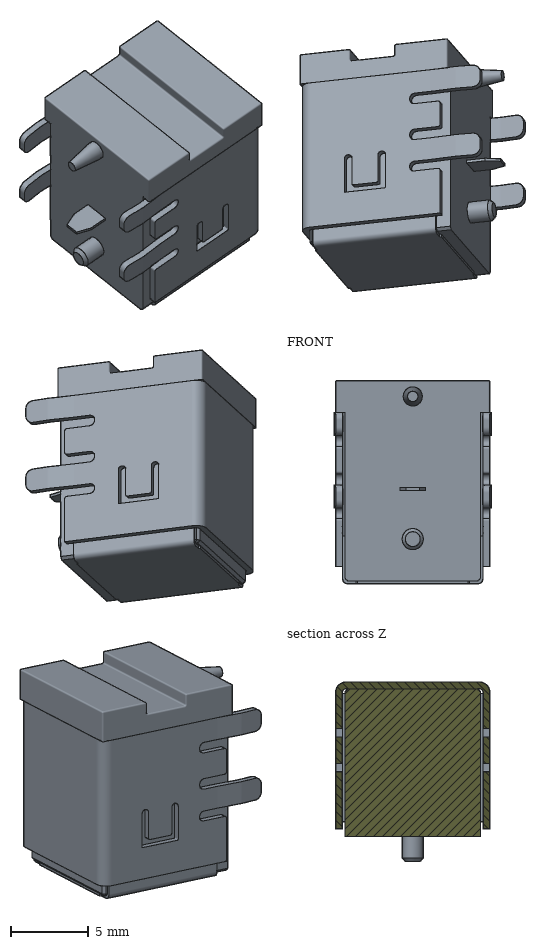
import cadquery as cq

total_height = 13.15
body_width = 10.0
body_depth = 10.01
cap_height = 2.05
cap_bottom = total_height - cap_height

edge_fillet = 0.1
notch_front = 3.6
notch_width = 3.0
notch_depth = 0.8

shell_bottom = 1.12
shell_thickness = 0.45
shell_corner_radius = 0.7
shell_front = 0.5

core_width = 8.78
core_bottom = 0.18
core_chamfer = 0.18

band_width = body_width - 2 * shell_thickness
band_top = 3.1
band_front = 0.95
band_rear = 9.26
band_radius = 0.34

foot_overhang = 0.1
foot_width = 7.36

taper_peg_z = 12.12
taper_peg_diameter = 1.24
taper_peg_tip_diameter = 0.67
taper_peg_straight = 0.22

round_peg_z = 2.89
round_peg_diameter = 1.37
round_peg_length = 1.62
round_peg_chamfer_length = 0.24
round_peg_tip_diameter = 0.96

pin_length = 2.2
pin_height = 1.5
pin_pitch = 4.71
pin_tops = [cap_bottom, cap_bottom - pin_pitch]
pin_span = 10.16
pin_tip_span = 9.94
pin_root_y = 1.16
pin_bend_y = -0.6
pin_bend_radius = 0.92
pin_tip_radius = 0.5

relief_end_y = 2.56
relief_height = 0.72
lower_relief_height = 0.67
tooth_radius = 0.16

tongue_slot_front = 4.21
tongue_slot_rear = 6.98
tongue_slot_top = 5.84
tongue_slot_bottom = 3.27
tongue_slot_width = 0.5
tongue_slot_floor = 0.45
tongue_corner_radius = 0.1
tongue_slot_corner_radius = 0.07

blade_z = 6.13
blade_width = 1.65
blade_tip_width = 0.9
blade_thickness = 0.18
blade_taper_y = -1.25

full_round = 0.49
pick_margin = 0.13


def block(width, front, rear, bottom, top):
    """Box centred on X = 0."""
    return cq.Workplane("XY").box(
        width, rear - front, top - bottom, centered=(True, False, False)
    ).translate((0, front, bottom))


def make_cap():
    notch = block(
        2 * body_width, notch_front, notch_front + notch_width, total_height - notch_depth, total_height
    )
    cap = block(body_width, 0, body_depth, cap_bottom, total_height).cut(notch)
    return cap.edges("not <Z").fillet(edge_fillet)


def make_core():
    """Block inside the shell; its front face is the mounting face of the housing."""
    core = block(core_width, 0, body_depth - shell_thickness, core_bottom, cap_bottom)
    return core.edges("(>Y and |Z) or (<Z and |Y) or (<Z and >Y)").chamfer(core_chamfer)


def make_band():
    band = block(band_width, band_front, band_rear, 0, band_top)
    return band.edges("<Z and |Y").fillet(band_radius)


def make_foot():
    foot = block(foot_width, band_front - foot_overhang, band_rear + foot_overhang, 0, core_bottom)
    return foot.edges("|Z").chamfer(foot_overhang)


def make_taper_peg():
    """Locating peg: short cylinder, then a cone."""
    return (
        cq.Workplane("XY")
        .polyline([
            (0, 0),
            (taper_peg_diameter / 2, 0),
            (taper_peg_diameter / 2, -taper_peg_straight),
            (taper_peg_tip_diameter / 2, -pin_length),
            (0, -pin_length),
        ])
        .close()
        .revolve(360, (0, 0, 0), (0, 1, 0))
        .translate((0, 0, taper_peg_z))
    )


def make_round_peg():
    """Locating peg: cylinder with a chamfered end."""
    chamfer_start = round_peg_length - round_peg_chamfer_length
    return (
        cq.Workplane("XY")
        .polyline([
            (0, 0),
            (round_peg_diameter / 2, 0),
            (round_peg_diameter / 2, -chamfer_start),
            (round_peg_tip_diameter / 2, -round_peg_length),
            (0, -round_peg_length),
        ])
        .close()
        .revolve(360, (0, 0, 0), (0, 1, 0))
        .translate((0, 0, round_peg_z))
    )


def make_housing():
    housing = make_cap()
    for piece in (make_core(), make_band(), make_foot(), make_taper_peg(), make_round_peg()):
        housing = housing.union(piece)
    return housing


def make_wrap():
    """Sheet folded around both sides and the rear of the core."""
    outside = block(body_width, shell_front, body_depth, shell_bottom, cap_bottom)
    outside = outside.edges("|Z and >Y").fillet(shell_corner_radius)
    inside = block(band_width, shell_front, body_depth - shell_thickness, shell_bottom, cap_bottom)
    inside = inside.edges("|Z and >Y").fillet(shell_corner_radius - shell_thickness)
    return outside.cut(inside)


def side_cutter(front, rear, bottom, top):
    """Box through both side walls of the shell."""
    return block(2 * body_width, front, rear, bottom, top)


def make_relief(top, height):
    """Slot open to the front, with a round rear end."""
    slot = side_cutter(0, relief_end_y, top - height, top)
    return slot.edges("|X and >Y").fillet(full_round * height)


def make_tongue_slot():
    slot = side_cutter(tongue_slot_front, tongue_slot_rear, tongue_slot_bottom, tongue_slot_top)
    slot = slot.edges("|X and <Z").fillet(tongue_slot_corner_radius)
    tongue = side_cutter(
        tongue_slot_front + tongue_slot_width,
        tongue_slot_rear - tongue_slot_width,
        tongue_slot_bottom + tongue_slot_floor,
        tongue_slot_top,
    )
    tongue = tongue.edges("|X and <Z").fillet(tongue_corner_radius)
    return slot.cut(tongue).edges("|X and >Z").fillet(full_round * tongue_slot_width)


def make_pin(top):
    """Pin on the +X side: leans outward from the shell, then back inward."""
    root_x = body_width / 2
    bend_x = pin_span / 2
    tip_x = pin_tip_span / 2
    pin = (
        cq.Workplane("XY")
        .polyline([
            (root_x, pin_root_y),
            (bend_x, pin_bend_y),
            (tip_x, -pin_length),
            (tip_x - shell_thickness, -pin_length),
            (bend_x - shell_thickness, pin_bend_y),
            (root_x - shell_thickness, pin_root_y),
        ])
        .close()
        .extrude(pin_height)
        .translate((0, 0, top - pin_height))
    )
    bend = cq.selectors.BoxSelector(
        (0, pin_bend_y - pick_margin, 0), (body_width, pin_bend_y + pick_margin, total_height)
    )
    pin = pin.edges("|Z").edges(bend).fillet(pin_bend_radius)
    return pin.edges("<Y and (not |Z)").fillet(pin_tip_radius)


def make_shell():
    shell = make_wrap()
    for top in pin_tops:
        shell = shell.cut(side_cutter(0, pin_root_y, top - pin_height, top))
    upper_top, lower_top = pin_tops
    shell = shell.cut(make_relief(upper_top - pin_height, relief_height))
    shell = shell.cut(make_relief(lower_top + relief_height, relief_height))
    shell = shell.cut(make_relief(lower_top - pin_height, lower_relief_height))
    tooth_corners = cq.selectors.BoxSelector(
        (-body_width, shell_front - pick_margin, shell_bottom + pick_margin),
        (body_width, shell_front + pick_margin, cap_bottom),
    )
    shell = shell.edges("|X").edges(tooth_corners).fillet(tooth_radius)
    shell = shell.cut(make_tongue_slot())
    for top in pin_tops:
        pin = make_pin(top)
        shell = shell.union(pin).union(pin.mirror("YZ"))
    return shell


def make_blade():
    """Flat contact with a tapered end, standing on the mounting face."""
    return (
        cq.Workplane("XY")
        .polyline([
            (-blade_width / 2, 0),
            (-blade_width / 2, blade_taper_y),
            (-blade_tip_width / 2, -pin_length),
            (blade_tip_width / 2, -pin_length),
            (blade_width / 2, blade_taper_y),
            (blade_width / 2, 0),
        ])
        .close()
        .extrude(blade_thickness)
        .translate((0, 0, blade_z - blade_thickness / 2))
    )


housing = make_housing()
shell = make_shell()
blade = make_blade()

result = cq.Compound.makeCompound([housing.val(), shell.val(), blade.val()])